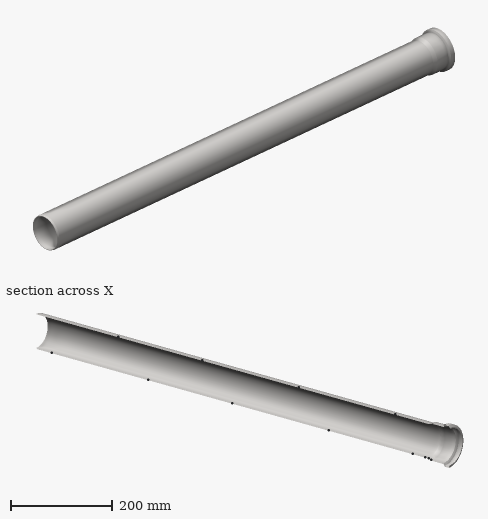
import cadquery as cq

length = 1055.0
pipe_radius = 75.0 / 2
bore_radius = 71.0 / 2
socket_radius = 80.0 / 2
socket_bore_radius = 76.0 / 2
bead_radius = 90.0 / 2
groove_radius = 85.0 / 2

socket_depth = 45.0
taper_length = 10.0
bead_width = 17.0
bead_shoulder = 3.0
spigot_chamfer_length = 4.0
spigot_chamfer_depth = 1.0

mouth = length / 2
spigot_end = -mouth
taper_end = mouth - socket_depth
taper_start = taper_end - taper_length
bead_start = mouth - bead_width


def add_bead(profile, base, crest):
    """Continue a profile at radius base over a flat-crested bead ending at the mouth."""
    return (
        profile.lineTo(base, bead_start)
        .lineTo(crest, bead_start + bead_shoulder)
        .lineTo(crest, mouth - bead_shoulder)
        .lineTo(base, mouth)
    )


def revolve_about_pipe_axis(profile):
    """Close a profile along the pipe axis and revolve it a full turn."""
    return profile.lineTo(0, mouth).close().revolve(360, (0, 0), (0, 1))


def make_outer_body():
    """Solid envelope: chamfered spigot, pipe, taper, socket and bead."""
    profile = (
        cq.Workplane("XY")
        .moveTo(0, spigot_end)
        .lineTo(pipe_radius - spigot_chamfer_depth, spigot_end)
        .lineTo(pipe_radius, spigot_end + spigot_chamfer_length)
        .lineTo(pipe_radius, taper_start)
        .lineTo(socket_radius, taper_end)
    )
    return revolve_about_pipe_axis(add_bead(profile, socket_radius, bead_radius))


def make_bore():
    """Open passage: pipe bore, taper, socket bore and seal groove."""
    profile = (
        cq.Workplane("XY")
        .moveTo(0, spigot_end)
        .lineTo(bore_radius, spigot_end)
        .lineTo(bore_radius, taper_start)
        .lineTo(socket_bore_radius, taper_end)
    )
    return revolve_about_pipe_axis(add_bead(profile, socket_bore_radius, groove_radius))


result = make_outer_body().cut(make_bore())